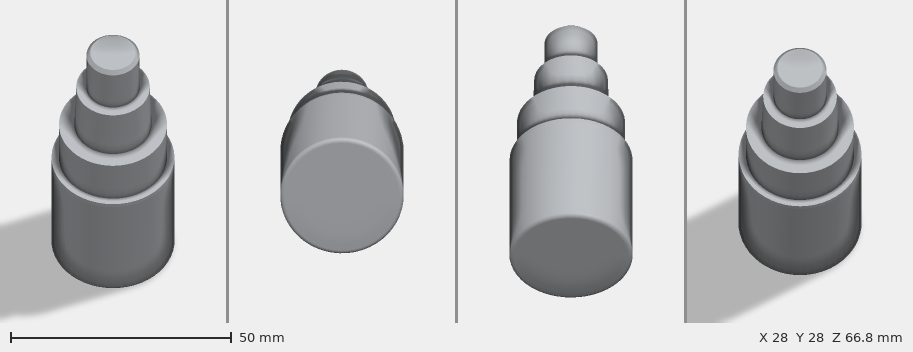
import cadquery as cq

total_height = 66.75

base_diameter = 28.0
base_height = 30.05
foot_radius = 1.0
rim_height = 1.0
rim_inset = 0.1

collar_diameter = 24.5
collar_height = 11.5
cone_bottom_diameter = 17.5
cone_top_diameter = 16.7
cone_height = 13.1
tip_diameter = 12.0
tip_chamfer = 0.9


def make_base():
    """Cylinder whose foot is rounded and whose rim narrows towards the top."""
    radius = base_diameter / 2
    body = (
        cq.Workplane("XZ")
        .lineTo(radius, 0)
        .lineTo(radius, base_height - rim_height)
        .lineTo(radius - rim_inset, base_height)
        .lineTo(0, base_height)
        .close()
        .revolve(360, (0, 0), (0, 1))
    )
    return body.faces("<Z").edges().fillet(foot_radius).solids()


def make_pin():
    """Collar, tapered shoulder and chamfered tip, turned as one profile."""
    collar_top = base_height + collar_height
    cone_top = collar_top + cone_height
    tip_radius = tip_diameter / 2
    profile = [
        (0, base_height),
        (collar_diameter / 2, base_height),
        (collar_diameter / 2, collar_top),
        (cone_bottom_diameter / 2, collar_top),
        (cone_top_diameter / 2, cone_top),
        (tip_radius, cone_top),
        (tip_radius, total_height - tip_chamfer),
        (tip_radius - tip_chamfer, total_height),
        (0, total_height),
    ]
    return cq.Workplane("XZ").polyline(profile).close().revolve(360, (0, 0), (0, 1))


base = make_base()
pin = make_pin()

result = cq.Compound.makeCompound([base.val(), pin.val()])